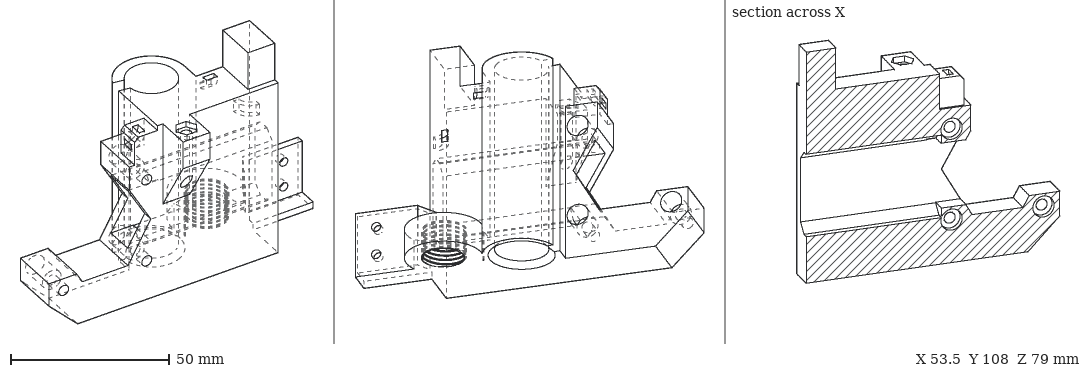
import cadquery as cq
import math

EXTRA = 1.0
HEX_HALF_ANGLE = 30.0

body_width = 17.0
body_front = -12.5
body_back = 32.5
body_height = 65.0
post_width = 15.0
post_depth = 10.0
post_top = 79.0

bearing_x = -6.5
sleeve_radius = 12.5
bore_radius = 8.6
flare_height = 2.0
flare_growth = 2.0
split_width = 4.85
split_angle = -9.0

ring_x = -12.0
ring_y = 24.0
ring_radius = 12.5
ring_height = 10.0
ring_web_back = 31.5
thread_radius = 6.85
thread_offset = 0.3
thread_pitch = 1.5

motor_y = -32.0
motor_z = 30.25
motor_hole_offset = 15.5
motor_opening_radius = 17.0
arm_front = -53.0
arm_height = 53.0
belt_half_height = 11.0
shelf_height = motor_z - belt_half_height
upper_arm_front = -23.0
toe_chamfer = 10.7
screw_radius = 1.85
screw_head_radius = 3.5
screw_head_depth = 10.0

belt_x = 8.35
belt_width = 10.0
belt_front_end = -10.0
belt_back_start = -13.0
belt_back_half_height = 14.0
belt_back_z = 30.0
belt_corner = 3.07

lug_length = 12.0
lug_width = 10.0
lug_y = -5.5
lug_bottom_outer = 54.8
lug_bottom_inner = 34.35
lug_hole_x = 23.0
lug_hole_radius = 1.85
lug_nut_flats = 6.5
lug_nut_depth = 2.0

tie_block_left = 8.9
tie_block_front = -21.0
tie_block_top = 63.2
tie_block_chamfer_depth = 1.3
tie_block_chamfer_drop = 1.5

tie_width = 4.0
tie_thickness = 2.0
block_tunnel_drop = 0.6
block_tunnel_radius = 3.0
block_tunnel_left = 11.0
top_tunnel_outset = 0.4
top_tunnel_drop = 0.8
top_tunnel_radius = 2.25
top_tunnel_back = 18.1
back_tunnel_radius = 3.9
back_tunnel_bottom = 46.4

plate_left = -7.0
plate_thickness = 2.5
plate_front = 34.3
plate_back = 55.0
plate_height = 22.1
plate_hole_y = 48.1
plate_hole_heights = (7.0, 16.5)
plate_hole_radius = 1.5
flange_right = 2.0
brace_thickness = 1.9
brace_length = 6.85
brace_angle = -31.0


def box(x_range, y_range, z_range):
    """Box given by its limits along each axis."""
    size = [high - low for low, high in (x_range, y_range, z_range)]
    return cq.Workplane("XY").box(*size, centered=False).translate((x_range[0], y_range[0], z_range[0]))


def side_prism(points, x_start, x_end):
    """Outline of (Y, Z) points extruded along X."""
    return cq.Workplane("YZ", origin=(x_start, 0, 0)).polyline(points).close().extrude(x_end - x_start)


def front_prism(points, y_start, y_end):
    """Outline of (X, Z) points extruded along Y."""
    return cq.Workplane("XZ", origin=(0, y_start, 0)).polyline(points).close().extrude(y_start - y_end)


def upright_cylinder(x, y, radius, z_start, z_end):
    return cq.Workplane("XY", origin=(x, y, z_start)).circle(radius).extrude(z_end - z_start)


def cross_hole(y, z, radius, x_start, x_end):
    """Cylinder along X."""
    return cq.Workplane("YZ", origin=(x_start, y, z)).circle(radius).extrude(x_end - x_start)


def make_body():
    body = box((0, body_width), (body_front, body_back), (0, body_height))
    post = box((0, post_width), (body_back - post_depth, body_back), (0, post_top))
    return body.union(post)


def make_sleeve():
    sleeve = upright_cylinder(bearing_x, 0, sleeve_radius, 0, body_height)
    web = box((bearing_x, EXTRA), (-sleeve_radius, sleeve_radius), (0, body_height))
    return sleeve.union(web)


def make_sleeve_cut():
    bore = upright_cylinder(bearing_x, 0, bore_radius, -EXTRA, body_height + EXTRA)
    cone = cq.Solid.makeCone(bore_radius + flare_growth, bore_radius, flare_height)
    flare = cq.Workplane(cone).translate((bearing_x, 0, 0))
    split = box(
        (-split_width / 2, split_width / 2),
        (-sleeve_radius - EXTRA, 0),
        (-EXTRA, body_height + EXTRA),
    )
    split = split.rotate((0, 0, 0), (0, 0, 1), split_angle).translate((bearing_x, 0, 0))
    return bore.union(flare).union(split)


def make_ring():
    ring = upright_cylinder(ring_x, ring_y, ring_radius, 0, ring_height)
    web = box((bearing_x, EXTRA), (0, ring_web_back), (0, ring_height))
    return ring.union(web)


def make_thread():
    """Rounded thread: an off-centre circle twisted about the ring axis, ending at +X on the ring's top."""
    turn = 360.0 * ring_height / thread_pitch
    thread = cq.Workplane("XY").moveTo(thread_offset, 0).circle(thread_radius).twistExtrude(ring_height, turn)
    return thread.rotate((0, 0, 0), (0, 0, 1), -turn).translate((ring_x, ring_y, 0))


def make_motor_arm():
    block = box((0, body_width), (arm_front, body_front), (0, arm_height))
    opening = (
        cq.Workplane("YZ", origin=(-EXTRA, motor_y, motor_z))
        .polygon(6, 2 * motor_opening_radius)
        .extrude(body_width + 2 * EXTRA)
    )
    above_shelf = box(
        (-EXTRA, body_width + EXTRA),
        (arm_front - EXTRA, upper_arm_front),
        (shelf_height, arm_height + EXTRA),
    )
    toe = side_prism(
        [(arm_front, 0), (arm_front + toe_chamfer, 0), (arm_front, toe_chamfer)],
        0,
        body_width,
    )
    return block.cut(opening).cut(above_shelf).cut(toe)


def make_motor_screw_holes():
    near_y = motor_y + motor_hole_offset
    far_y = motor_y - motor_hole_offset
    low_z = motor_z - motor_hole_offset
    high_z = motor_z + motor_hole_offset
    holes = cq.Workplane("XY")
    for y, z in ((near_y, high_z), (near_y, low_z), (far_y, low_z)):
        holes = holes.add(cross_hole(y, z, screw_radius, -EXTRA, body_width + EXTRA))
        holes = holes.add(cross_hole(y, z, screw_head_radius, -EXTRA, screw_head_depth))
    return holes.combine()


def make_belt_channel():
    """Plain slot through the arm that opens into a taller slot with chamfered corners in the body."""
    left = belt_x - belt_width / 2
    right = belt_x + belt_width / 2
    slot = box(
        (left, right),
        (upper_arm_front - EXTRA, belt_front_end),
        (motor_z - belt_half_height, motor_z + belt_half_height),
    )
    bottom = belt_back_z - belt_back_half_height
    top = belt_back_z + belt_back_half_height
    outline = [
        (left + belt_corner, bottom),
        (right - belt_corner, bottom),
        (right, bottom + belt_corner),
        (right, top - belt_corner),
        (right - belt_corner, top),
        (left + belt_corner, top),
        (left, top - belt_corner),
        (left, bottom + belt_corner),
    ]
    return slot.union(front_prism(outline, belt_back_start, body_back + EXTRA))


def make_lug():
    outer_x = body_width + lug_length
    outline = [
        (body_width, lug_bottom_inner),
        (outer_x, lug_bottom_outer),
        (outer_x, body_height),
        (body_width, body_height),
    ]
    return front_prism(outline, lug_y - lug_width / 2, lug_y + lug_width / 2)


def make_lug_hole():
    hole = upright_cylinder(lug_hole_x, lug_y, lug_hole_radius, lug_bottom_inner, body_height + EXTRA)
    nut = (
        cq.Workplane("XY", origin=(lug_hole_x, lug_y, body_height - lug_nut_depth))
        .transformed(rotate=(0, 0, HEX_HALF_ANGLE))
        .polygon(6, lug_nut_flats / math.cos(math.radians(HEX_HALF_ANGLE)))
        .extrude(lug_nut_depth + EXTRA)
    )
    return hole.union(nut)


def make_tie_block():
    outline = [
        (body_front, arm_height),
        (tie_block_front, arm_height),
        (tie_block_front, tie_block_top - tie_block_chamfer_drop),
        (tie_block_front + tie_block_chamfer_depth, tie_block_top),
        (body_front, tie_block_top),
    ]
    return side_prism(outline, tie_block_left, body_width)


def tie_tunnel(plane, centre, inner_radius):
    """Flat ring, one tie wide, whose part inside the solid is a curved tunnel around an edge."""
    return (
        cq.Workplane(plane, origin=centre)
        .circle(inner_radius + tie_thickness)
        .circle(inner_radius)
        .extrude(tie_width)
    )


def make_block_tunnel():
    """Tunnel from the tie block's top to its front."""
    centre = (block_tunnel_left, tie_block_front, tie_block_top - block_tunnel_drop)
    return tie_tunnel("YZ", centre, block_tunnel_radius)


def make_top_tunnel():
    """Tunnel from the body's top to its left face."""
    centre = (-top_tunnel_outset, top_tunnel_back, body_height - top_tunnel_drop)
    return tie_tunnel("XZ", centre, top_tunnel_radius)


def make_back_tunnel():
    """Tunnel from the body's left face to its back."""
    return tie_tunnel("XY", (0, body_back, back_tunnel_bottom), back_tunnel_radius)


def make_switch_bracket():
    plate_right = plate_left + plate_thickness
    plate = box((plate_left, plate_right), (plate_front, plate_back), (0, plate_height))
    for z in plate_hole_heights:
        plate = plate.cut(cross_hole(plate_hole_y, z, plate_hole_radius, plate_left, plate_right))
    flange = box((plate_right, flange_right), (body_back, plate_back), (0, plate_thickness))
    brace = box((-brace_length, EXTRA), (-brace_thickness, 0), (0, plate_height))
    brace = brace.rotate((0, 0, 0), (0, 0, 1), brace_angle).translate((0, body_back, 0))
    return plate.union(flange).union(brace)


added_features = [
    make_sleeve(),
    make_ring(),
    make_motor_arm(),
    make_lug(),
    make_tie_block(),
    make_switch_bracket(),
]
cutters = [
    make_sleeve_cut(),
    make_thread(),
    make_belt_channel(),
    make_motor_screw_holes(),
    make_lug_hole(),
    make_block_tunnel(),
    make_top_tunnel(),
    make_back_tunnel(),
]

result = make_body()
for feature in added_features:
    result = result.union(feature)
for cutter in cutters:
    result = result.cut(cutter)